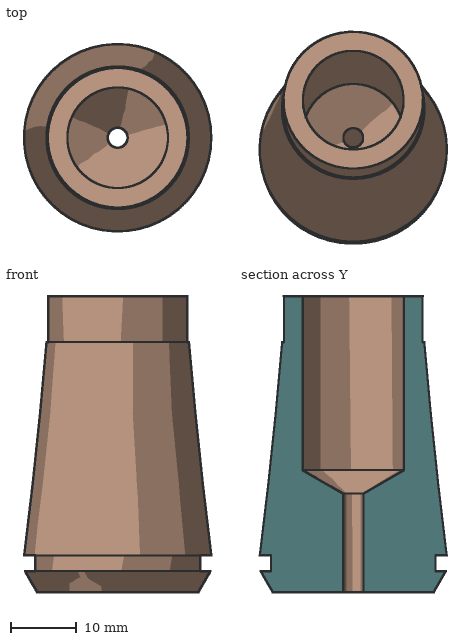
import math

import cadquery as cq


total_height = 45.0
flange_height = 3.2
groove_top = 5.6
neck_bottom = 38.0

flange_top_radius = 14.1
groove_radius = 12.55
taper_bottom_radius = 14.25
taper_top_radius = 10.85
neck_radius = 10.6

flange_angle = 30.0
flange_base_radius = flange_top_radius - flange_height * math.tan(math.radians(flange_angle))

taper_hollow = 0.17
taper_middle_radius = (taper_bottom_radius + taper_top_radius) / 2 - taper_hollow
taper_middle_height = (groove_top + neck_bottom) / 2

bore_radius = 7.65
pilot_radius = 1.5
pilot_length = 15.0
floor_angle = 30.0
floor_top = pilot_length + (bore_radius - pilot_radius) * math.tan(math.radians(floor_angle))


def revolve_about_axis(profile):
    """Turn a closed XZ half-profile into a solid of revolution about Z."""
    return profile.revolve(360, (0, 0, 0), (0, 1, 0))


def make_body():
    """Outer shape: flared flange, groove, hollow taper and straight neck."""
    profile = (
        cq.Workplane("XZ")
        .lineTo(flange_base_radius, 0)
        .lineTo(flange_top_radius, flange_height)
        .lineTo(groove_radius, flange_height)
        .lineTo(groove_radius, groove_top)
        .lineTo(taper_bottom_radius, groove_top)
        .threePointArc((taper_middle_radius, taper_middle_height), (taper_top_radius, neck_bottom))
        .lineTo(neck_radius, neck_bottom)
        .lineTo(neck_radius, total_height)
        .lineTo(0, total_height)
        .close()
    )
    return revolve_about_axis(profile)


def make_bore():
    """Cavity: pilot hole, conical floor and cylindrical bore."""
    profile = (
        cq.Workplane("XZ")
        .lineTo(pilot_radius, 0)
        .lineTo(pilot_radius, pilot_length)
        .lineTo(bore_radius, floor_top)
        .lineTo(bore_radius, total_height)
        .lineTo(0, total_height)
        .close()
    )
    return revolve_about_axis(profile)


result = make_body().cut(make_bore())